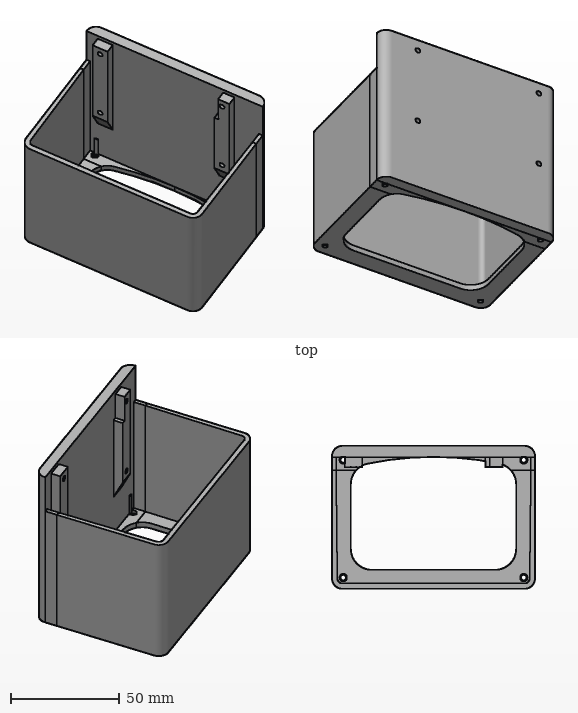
import cadquery as cq
import math

width = 94.0
height = 85.0
front_depth = 55.0
side_depth = 6.0
plate_thickness = 5.3
corner_radius = 5.0

half_width = width / 2
seam_y = front_depth
plate_y = seam_y + side_depth
depth = plate_y + plate_thickness

rim_height = 65.05
floor_thickness = 3.0
front_wall = 2.5
side_wall = 2.0
side_wall_front = 2.5
inner_corner_radius = corner_radius - front_wall

opening_width = 76.3
opening_front_y = 8.9
opening_corner_radius = 9.6
opening_arc_radius = 150.4

screw_inset = 5.3
screw_rear_gap = 1.3
screw_diameter = 2.5
counterbore_diameter = 3.5
counterbore_floor = 1.5
counterbore_top = 12.7

rail_width = 8.0
rail_depth = 4.7
rail_length = 49.0
rail_bevel = 9.9
rail_top_z = height - 2.0
left_rail_x = -41.0
right_rail_x = 24.0
notch_width = 2.0
notch_height = 14.0
rail_hole_diameter = 2.5
rail_hole_drop = 4.0
rail_hole_spacing = 40.7


def box(x_min, x_max, y_min, y_max, z_min, z_max):
    """Block between the given limits along each axis."""
    size = (x_max - x_min, y_max - y_min, z_max - z_min)
    return cq.Workplane("XY").box(*size, centered=False).translate((x_min, y_min, z_min))


def floor_opening():
    """Cutter for the floor opening: rounded corners and a bowed rear edge."""
    half = opening_width / 2
    r = opening_corner_radius
    diagonal = r * math.sqrt(0.5)
    corner_x = half - r
    front_y = opening_front_y + r

    arc_centre_y = plate_y - opening_arc_radius
    centre_distance = opening_arc_radius - r
    rear_y = arc_centre_y + math.sqrt(centre_distance**2 - corner_x**2)
    touch_angle = math.asin(corner_x / centre_distance)
    touch_x = opening_arc_radius * math.sin(touch_angle)
    touch_y = arc_centre_y + opening_arc_radius * math.cos(touch_angle)
    middle_angle = (math.pi / 2 + touch_angle) / 2
    middle_x = corner_x + r * math.sin(middle_angle)
    middle_y = rear_y + r * math.cos(middle_angle)

    return (
        cq.Workplane("XY")
        .moveTo(-corner_x, opening_front_y)
        .lineTo(corner_x, opening_front_y)
        .threePointArc((corner_x + diagonal, front_y - diagonal), (half, front_y))
        .lineTo(half, rear_y)
        .threePointArc((middle_x, middle_y), (touch_x, touch_y))
        .threePointArc((0, plate_y), (-touch_x, touch_y))
        .threePointArc((-middle_x, middle_y), (-half, rear_y))
        .lineTo(-half, front_y)
        .threePointArc((-corner_x - diagonal, front_y - diagonal), (-corner_x, opening_front_y))
        .close()
        .extrude(floor_thickness)
    )


def screw_holes():
    """Cutters for the four floor screws, each with a counterbore from above."""
    screw_x = half_width - screw_inset
    points = [(x, y) for x in (-screw_x, screw_x) for y in (screw_inset, plate_y - screw_rear_gap)]
    through = cq.Workplane("XY").pushPoints(points).circle(screw_diameter / 2).extrude(floor_thickness)
    counterbores = (
        cq.Workplane("XY", origin=(0, 0, counterbore_floor))
        .pushPoints(points)
        .circle(counterbore_diameter / 2)
        .extrude(counterbore_top - counterbore_floor)
    )
    return through.add(counterbores).combine()


def rail_holes():
    """Cutters for the two screw holes of each rail, running on through the plate."""
    upper_z = rail_top_z - rail_hole_drop
    points = [
        (rail_x + rail_width / 2, z)
        for rail_x in (left_rail_x, right_rail_x)
        for z in (upper_z, upper_z - rail_hole_spacing)
    ]
    return (
        cq.Workplane("XZ", origin=(0, depth, 0))
        .pushPoints(points)
        .circle(rail_hole_diameter / 2)
        .extrude(plate_thickness + rail_depth)
    )


def make_front_shell():
    """Front wall, side walls and most of the floor."""
    shell = box(-half_width, half_width, 0, seam_y, 0, rim_height)
    shell = shell.edges("|Z and <Y").fillet(corner_radius)
    seam_x = half_width - side_wall
    front_x = half_width - side_wall_front
    cavity = (
        cq.Workplane("XY", origin=(0, 0, floor_thickness))
        .polyline([(-seam_x, seam_y), (-front_x, front_wall), (front_x, front_wall), (seam_x, seam_y)])
        .close()
        .extrude(rim_height - floor_thickness)
        .edges("|Z and <Y")
        .fillet(inner_corner_radius)
    )
    return shell.cut(cavity).cut(floor_opening()).cut(screw_holes())


def make_side_piece(side):
    """Rear stretch of one side wall with its share of the floor; side is -1 or +1."""
    outer_x = side * half_width
    inner_x = side * (half_width - side_wall)
    wall = box(min(outer_x, inner_x), max(outer_x, inner_x), seam_y, plate_y, 0, rim_height)
    floor = box(min(0, outer_x), max(0, outer_x), seam_y, plate_y, 0, floor_thickness)
    return wall.union(floor).cut(floor_opening()).cut(screw_holes())


def make_back_plate():
    """Tall rear plate with rounded outer edges."""
    plate = box(-half_width, half_width, plate_y, depth, 0, height)
    plate = plate.edges("|Z and >Y").fillet(corner_radius)
    return plate.cut(screw_holes()).cut(rail_holes())


def make_rail(rail_x, notched):
    """Rail with a bevelled lower end, optionally notched in its upper left corner."""
    front_y = plate_y - rail_depth
    bottom_z = rail_top_z - rail_length
    rail = (
        cq.Workplane("YZ", origin=(rail_x, 0, 0))
        .polyline([
            (plate_y, rail_top_z),
            (front_y, rail_top_z),
            (front_y, bottom_z),
            (plate_y, bottom_z - rail_bevel),
        ])
        .close()
        .extrude(rail_width)
    )
    if notched:
        notch_z = rail_top_z - notch_height
        rail = rail.cut(box(rail_x, rail_x + notch_width, front_y, plate_y, notch_z, rail_top_z))
    return rail.cut(rail_holes())


front_shell = make_front_shell()
side_pieces = [make_side_piece(side) for side in (-1, 1)]
back_plate = make_back_plate()
rails = [make_rail(left_rail_x, False), make_rail(right_rail_x, True)]

result = cq.Compound.makeCompound([
    front_shell.solids().val(),
    *[piece.solids().val() for piece in side_pieces],
    back_plate.solids().val(),
    *[rail.solids().val() for rail in rails],
])